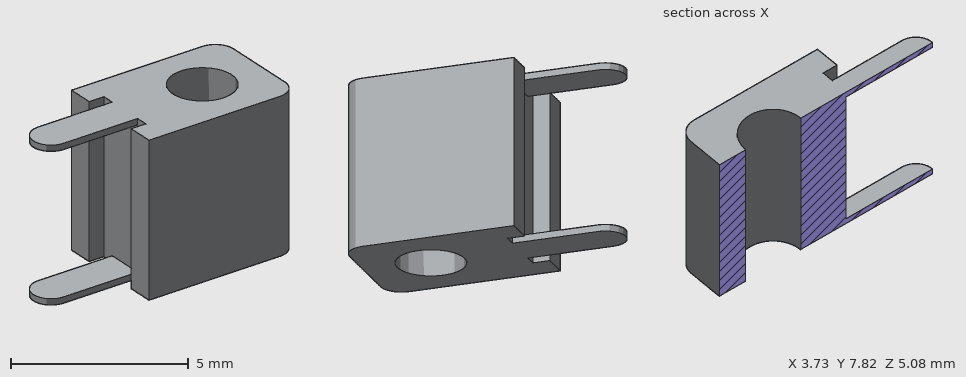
import cadquery as cq

width = 3.73
total_length = 7.82
height = 5.08

body_length = 5.16
corner_radius = 0.625
hole_diameter = 2.02
hole_to_back = 1.97

groove_width = hole_diameter
groove_depth = 0.51

tab_width = 1.22
tab_thickness = 0.2
tab_radius = tab_width / 2

back_y = hole_to_back
front_y = back_y - body_length
groove_floor_y = front_y + groove_depth
tab_tip_y = back_y - total_length
tab_round_y = tab_tip_y + tab_radius


def make_block():
    """Block with rounded back corners, a vertical hole and a front groove."""
    block = (
        cq.Workplane("XY")
        .center(0, (back_y + front_y) / 2)
        .rect(width, body_length)
        .extrude(height)
        .edges("|Z and >Y")
        .fillet(corner_radius)
    )
    hole = cq.Workplane("XY").circle(hole_diameter / 2).extrude(height)
    groove = (
        cq.Workplane("XY")
        .center(0, (front_y + groove_floor_y) / 2)
        .rect(groove_width, groove_depth)
        .extrude(height)
    )
    return block.cut(hole).cut(groove)


def make_tab(bottom_z):
    """Flat tab with a round tip, reaching forward from the groove floor."""
    return (
        cq.Workplane("XY", origin=(0, 0, bottom_z))
        .moveTo(-tab_radius, groove_floor_y)
        .lineTo(-tab_radius, tab_round_y)
        .threePointArc((0, tab_tip_y), (tab_radius, tab_round_y))
        .lineTo(tab_radius, groove_floor_y)
        .close()
        .extrude(tab_thickness)
    )


result = make_block()
for tab_bottom_z in (0, height - tab_thickness):
    result = result.union(make_tab(tab_bottom_z))